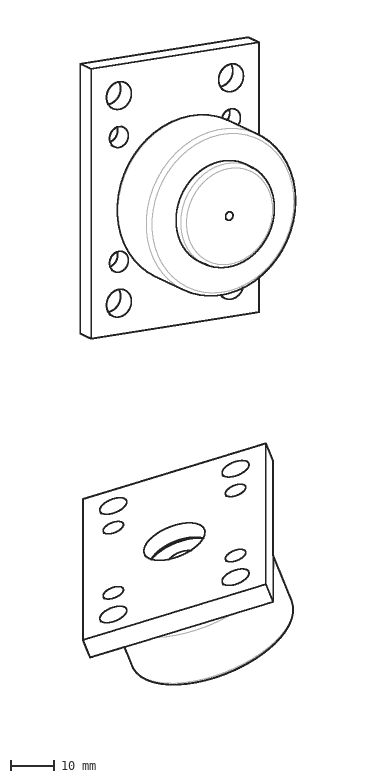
import cadquery as cq

plate_thickness = 5.0
plate_width = 45.0
plate_height = 65.0

neck_diameter = 20.0
roller_diameter = 40.0
roller_start = 12.0
roller_end = 27.0
cap_diameter = 25.0
cap_end = 30.0
edge_radius = 1.0

hole_spacing_y = 30.0
mount_hole_diameter = 6.6
mount_hole_spacing_z = 50.0
inner_hole_diameter = 5.0
inner_hole_spacing_z = hole_spacing_y

recess_diameter = 15.0
recess_depth = plate_thickness
recess_flare = 1.0
flare_angle = 45
bore_diameter = 7.0
bore_end = 20.0
bore_tip_diameter = 6.4
bore_tip_end = 25.0
vent_diameter = 2.0


def cylinder(diameter, start, end):
    """Cylinder on the X axis between two X positions."""
    return cq.Workplane("YZ", origin=(start, 0, 0)).circle(diameter / 2).extrude(end - start)


def plate_holes(diameter, spacing_z):
    """Four through-holes at the corners of a centred rectangle."""
    return (
        cq.Workplane("YZ")
        .rect(hole_spacing_y, spacing_z, forConstruction=True)
        .vertices()
        .circle(diameter / 2)
        .extrude(plate_thickness)
    )


plate = cq.Workplane("YZ").rect(plate_width, plate_height).extrude(plate_thickness)
plate = plate.cut(plate_holes(mount_hole_diameter, mount_hole_spacing_z))
plate = plate.cut(plate_holes(inner_hole_diameter, inner_hole_spacing_z))

neck = cylinder(neck_diameter, plate_thickness, roller_start)
roller = cylinder(roller_diameter, roller_start, roller_end).edges().fillet(edge_radius)
cap = cylinder(cap_diameter, roller_end, cap_end).edges(">X").fillet(edge_radius)

result = plate.union(neck).union(roller).union(cap)

recess = cylinder(recess_diameter, 0, recess_depth)
flare = (
    cq.Workplane("YZ", origin=(recess_depth, 0, 0))
    .circle(recess_diameter / 2 + recess_flare)
    .extrude(-recess_flare, taper=flare_angle)
)
result = result.cut(recess).cut(flare)

result = result.cut(cylinder(bore_diameter, recess_depth, bore_end))
result = result.cut(cylinder(bore_tip_diameter, bore_end, bore_tip_end))
result = result.cut(cylinder(vent_diameter, bore_tip_end, cap_end))